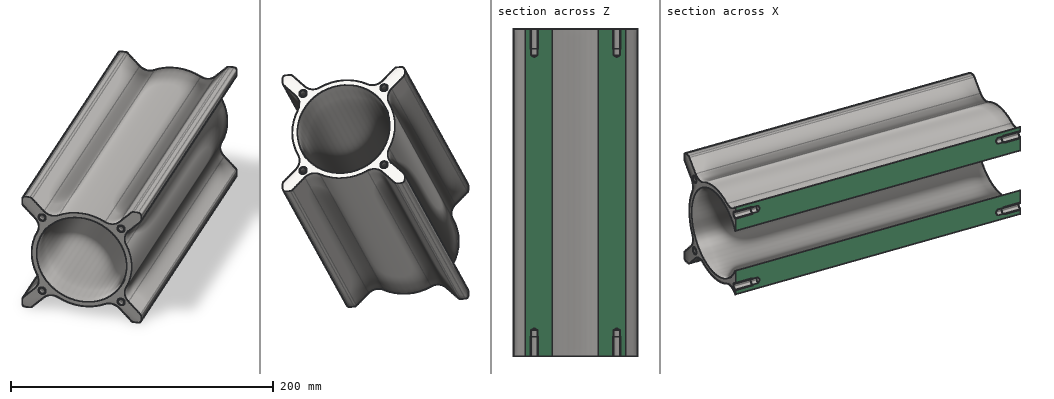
import cadquery as cq
import math

length = 250.0
overall_width = 95.0
bore_diameter = 72.0
tube_diameter = 80.0
fin_thickness = 10.0
root_fillet_radius = 10.0
tip_corner_radius = 2.5
screw_hole_offset = 31.5
insert_outer_diameter = 6.0
insert_inner_diameter = 4.8
insert_length = 15.0
screw_hole_depth = 20.0
drill_point_angle = 118.0

half_length = length / 2
tube_radius = tube_diameter / 2
fin_half_thickness = fin_thickness / 2
tip_point_along = overall_width / 2 * math.sqrt(2)
tip_shoulder_along = tip_point_along - fin_half_thickness
fillet_centre_across = fin_half_thickness + root_fillet_radius
fillet_centre_along = math.sqrt((tube_radius + root_fillet_radius) ** 2 - fillet_centre_across ** 2)
tube_tangent_ratio = tube_radius / (tube_radius + root_fillet_radius)
tube_tangent_along = fillet_centre_along * tube_tangent_ratio
tube_tangent_across = fillet_centre_across * tube_tangent_ratio
tube_contact_angle = math.atan2(-fillet_centre_across, -fillet_centre_along)
flank_contact_angle = -math.pi / 2
fillet_mid_angle = (tube_contact_angle + flank_contact_angle) / 2
fillet_mid_along = fillet_centre_along + root_fillet_radius * math.cos(fillet_mid_angle)
fillet_mid_across = fillet_centre_across + root_fillet_radius * math.sin(fillet_mid_angle)
drill_point_depth = insert_inner_diameter / 2 / math.tan(math.radians(drill_point_angle / 2))

fin_angles = [45, 135, 225, 315]
screw_positions = [(x, z) for x in (-screw_hole_offset, screw_hole_offset)
                   for z in (-screw_hole_offset, screw_hole_offset)]


def make_fin(angle):
    """One full-length fin with filleted roots and a pointed tip with rounded corners."""
    selection_margin = tip_corner_radius / 2
    return (
        cq.Workplane("XZ", origin=(0, half_length, 0))
        .moveTo(0, 0)
        .lineTo(tube_tangent_along, -tube_tangent_across)
        .threePointArc((fillet_mid_along, -fillet_mid_across), (fillet_centre_along, -fin_half_thickness))
        .lineTo(tip_shoulder_along, -fin_half_thickness)
        .lineTo(tip_point_along, 0)
        .lineTo(tip_shoulder_along, fin_half_thickness)
        .lineTo(fillet_centre_along, fin_half_thickness)
        .threePointArc((fillet_mid_along, fillet_mid_across), (tube_tangent_along, tube_tangent_across))
        .close()
        .extrude(length)
        .edges(cq.selectors.BoxSelector(
            (tip_shoulder_along - selection_margin, -fin_thickness, -fin_thickness),
            (tip_point_along + selection_margin, fin_thickness, fin_thickness),
        ))
        .fillet(tip_corner_radius)
        .rotate((0, 0, 0), (0, 1, 0), angle)
    )


def place_at_end(shape, x, z, end):
    """Move a shape built inward along +Y from the origin to a screw axis at one end (-1 or +1)."""
    if end > 0:
        shape = shape.mirror("XZ")
    return shape.translate((x, end * half_length, z))


def make_screw_hole():
    """Cutter for a drilled hole with a conical bottom and a wider seat for the insert."""
    drill_radius = insert_inner_diameter / 2
    seat_radius = insert_outer_diameter / 2
    return (
        cq.Workplane("XY")
        .polyline([
            (0, 0),
            (seat_radius, 0),
            (seat_radius, insert_length),
            (drill_radius, insert_length),
            (drill_radius, screw_hole_depth),
            (0, screw_hole_depth + drill_point_depth),
        ])
        .close()
        .revolve(360, (0, 0, 0), (0, 1, 0))
    )


def make_insert():
    """Plain sleeve that fills the seat of a screw hole, flush with the end face."""
    return (
        cq.Workplane("XZ")
        .circle(insert_outer_diameter / 2)
        .circle(insert_inner_diameter / 2)
        .extrude(-insert_length)
    )


def make_housing():
    """Tube with four diagonal fins and a screw hole at the root of each fin at both ends."""
    body = cq.Workplane("XZ", origin=(0, half_length, 0)).circle(tube_radius).extrude(length)
    for angle in fin_angles:
        body = body.union(make_fin(angle))
    bore = cq.Workplane("XZ", origin=(0, half_length, 0)).circle(bore_diameter / 2).extrude(length)
    body = body.cut(bore)
    for end in (-1, 1):
        for x, z in screw_positions:
            body = body.cut(place_at_end(make_screw_hole(), x, z, end))
    return body


housing = make_housing()

inserts = []
for end in (-1, 1):
    for x, z in screw_positions:
        inserts.append(place_at_end(make_insert(), x, z, end))

result = cq.Compound.makeCompound([housing.val(), *[insert.val() for insert in inserts]])